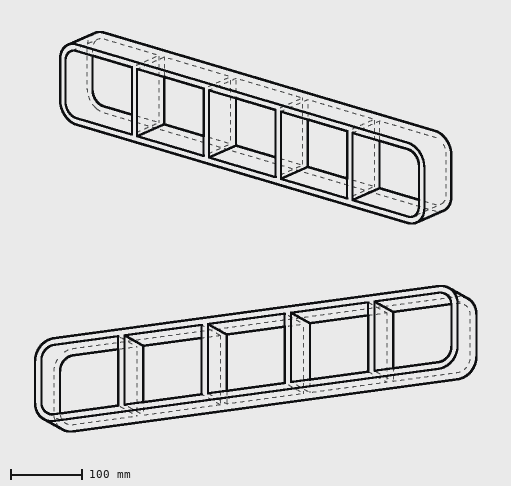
import cadquery as cq

length = 662.5
depth = 60.0
height = 121.0
corner_radius = 30.0
wall = 10.0

opening_count = 5
divider = 10.0
inner_length = length - 2 * wall
inner_height = height - 2 * wall
inner_radius = corner_radius - wall
opening_width = (inner_length - (opening_count - 1) * divider) / opening_count
opening_pitch = opening_width + divider


def rounded_block(block_length, block_height, radius):
    """Block centred on the origin with its four Y-direction edges rounded."""
    return cq.Workplane("XY").box(block_length, depth, block_height).edges("|Y").fillet(radius)


def dividers():
    """Full-depth upright plates, evenly spaced along the interior."""
    first_x = -(opening_count - 2) / 2 * opening_pitch
    positions = [(first_x + i * opening_pitch, 0) for i in range(opening_count - 1)]
    return cq.Workplane("XY").pushPoints(positions).box(divider, depth, height - wall)


frame = rounded_block(length, height, corner_radius)
frame = frame.cut(rounded_block(inner_length, inner_height, inner_radius))
result = frame.union(dividers())